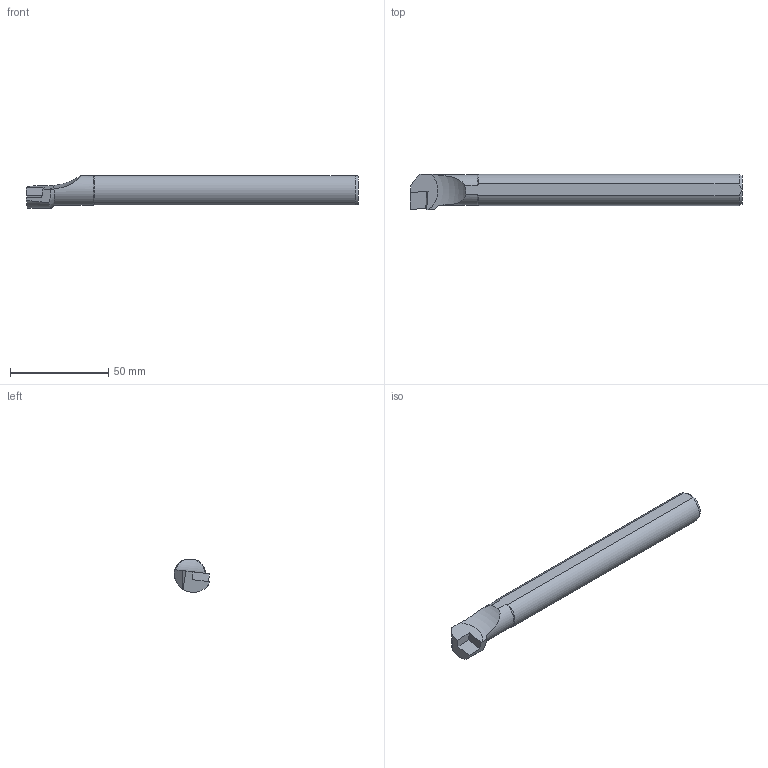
import math

import cadquery as cq

bar_length = 169.38
shank_radius = 8.0
flat_height = 7.4
end_chamfer_length = 1.5
end_chamfer_depth = 0.8

neck_radius = 7.75
neck_start = 9.0
neck_end = 34.3
neck_step_length = 0.6

head_radius = 9.7
head_bottom = -9.3
head_inset = 0.05
head_center_y = shank_radius - head_radius - head_inset
head_center_z = head_bottom + head_radius
cone_end = 14.5

corner_y = -9.93
corner_z = -3.9
front_relief = 0.08
front_skew = 0.064
side_relief = 0.18
side_skew = 0.07

corner_relief_end = (5.2, 7.9)
corner_relief_start = (1.4, 3.9)
corner_blend_start = (0.25, 2.0)

rake_angle = 6.6
chip_face_z = 1.35
ramp_center_x = 2.3
ramp_center_y = -0.3
chip_face_radius = 12.0
ramp_radius = 19.5
ramp_width = 17.0

seat_depth = 4.05
seat_back_y = -1.3
seat_back_rise = 0.06
seat_end_x = 9.2
seat_end_skew = 0.06
seat_end_lean = 0.13

front_allowance = 1.0
reach = 30.0


def bar_cylinder(radius, start, end):
    return cq.Workplane("YZ").workplane(offset=start).circle(radius).extrude(end - start)


def make_shank():
    profile = [
        (neck_end, 0),
        (neck_end, neck_radius),
        (neck_end + neck_step_length, shank_radius),
        (bar_length - end_chamfer_length, shank_radius),
        (bar_length, shank_radius - end_chamfer_depth),
        (bar_length, 0),
    ]
    round_bar = cq.Workplane("XY").polyline(profile).close().revolve(360, (0, 0, 0), (1, 0, 0))
    slab = cq.Workplane("XY").box(bar_length, 2 * reach, 2 * flat_height)
    return round_bar.intersect(slab.translate((neck_end + bar_length / 2, 0, 0)))


def make_neck():
    top_cut = cq.Workplane("XY").workplane(offset=flat_height).rect(4 * reach, reach).extrude(reach)
    return bar_cylinder(neck_radius, neck_start, neck_end).cut(top_cut)


def make_head():
    cylinder = bar_cylinder(head_radius, -front_allowance, cone_end)
    cylinder = cylinder.translate((0, head_center_y, head_center_z))
    cone_front_radius = neck_radius + cone_end + front_allowance
    cone_profile = [
        (-front_allowance, 0),
        (-front_allowance, cone_front_radius),
        (cone_end, neck_radius),
        (cone_end, 0),
    ]
    cone = cq.Workplane("XY").polyline(cone_profile).close().revolve(360, (0, 0, 0), (1, 0, 0))
    return cylinder.intersect(cone)


def half_space(point, normal):
    """Large block lying on the normal side of the plane through point."""
    plane = cq.Plane(origin=point, normal=normal)
    return cq.Workplane(plane).rect(4 * reach, 4 * reach).extrude(2 * reach)


def make_front_relief():
    return half_space((0, corner_y, corner_z), (-1, front_skew, -front_relief))


def make_side_relief():
    below_side = half_space((0, corner_y, corner_z), (side_skew, -1, -side_relief))
    return below_side.intersect(bar_cylinder(reach, -reach, cone_end))


def make_corner_relief():
    front_x = corner_blend_start[0] - reach
    blend_run = corner_relief_start[0] - corner_blend_start[0]
    blend_rise = corner_relief_start[1] - corner_blend_start[1]
    blend_foot_x = corner_blend_start[0] - blend_run
    blend_foot_y = corner_blend_start[1] - blend_rise
    outer_x = 2 * corner_relief_end[0] - corner_relief_start[0]
    outer_y = 2 * corner_relief_end[1] - corner_relief_start[1]
    outline = [
        (outer_x, outer_y),
        corner_relief_start,
        (blend_foot_x, blend_foot_y),
        (front_x, blend_foot_y),
        (front_x, outer_y),
    ]
    return cq.Workplane("XY").polyline(outline).close().extrude(reach, both=True)


def make_chip_face():
    """Flat disc with a concave rim, swept about an axis square to the chip face."""

    def rim_height(width):
        return ramp_radius - math.sqrt(ramp_radius**2 - width**2)

    outer_radius = chip_face_radius + ramp_width
    cutter = (
        cq.Workplane("XZ")
        .lineTo(chip_face_radius, 0)
        .threePointArc(
            (chip_face_radius + ramp_width / 2, rim_height(ramp_width / 2)),
            (outer_radius, rim_height(ramp_width)),
        )
        .lineTo(outer_radius, reach)
        .lineTo(0, reach)
        .close()
        .revolve(360, (0, 0, 0), (0, 1, 0))
    )
    tilted = cutter.rotate((0, 0, 0), (1, 0, 0), rake_angle)
    center_z = chip_face_z + ramp_center_y * math.tan(math.radians(rake_angle))
    return tilted.translate((ramp_center_x, ramp_center_y, center_z))


def make_seat():
    def wall_outline(z):
        end_x = seat_end_x + seat_end_lean * (z - chip_face_z)
        return [
            (-reach, seat_back_y - seat_back_rise * reach),
            (end_x, seat_back_y + seat_back_rise * end_x),
            (end_x - seat_end_skew * reach, seat_back_y - reach),
            (-reach, seat_back_y - reach),
        ]

    low_z = -reach / 2
    high_z = reach / 2
    walls = (
        cq.Workplane("XY")
        .workplane(offset=low_z)
        .polyline(wall_outline(low_z))
        .close()
        .workplane(offset=high_z - low_z)
        .polyline(wall_outline(high_z))
        .close()
        .loft(ruled=True)
    )
    rake = math.radians(rake_angle)
    floor_normal = (0, -math.sin(rake), math.cos(rake))
    return walls.intersect(half_space((0, 0, chip_face_z - seat_depth), floor_normal))


head = make_head()
for relief in (make_front_relief(), make_side_relief(), make_corner_relief()):
    head = head.cut(relief)

result = head.union(make_neck()).union(make_shank())
result = result.cut(make_chip_face()).cut(make_seat())